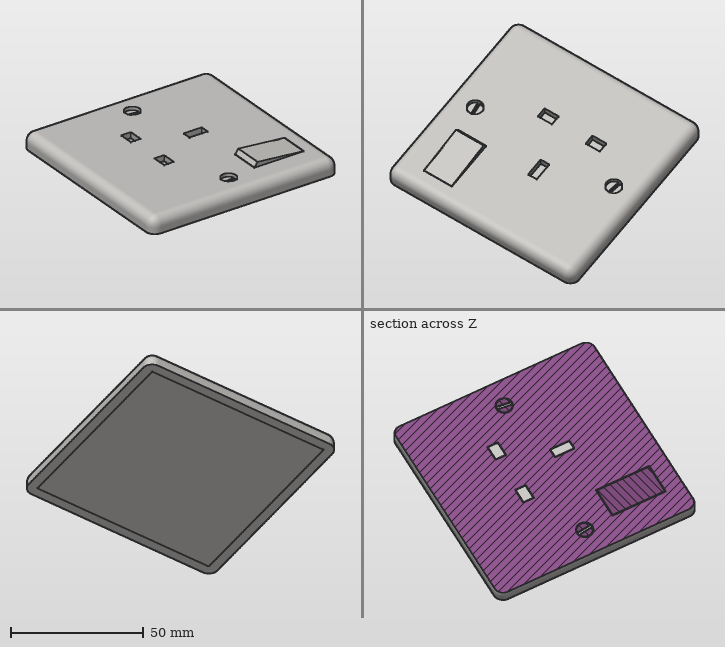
import cadquery as cq

plate_side = 86.0
plate_height = 7.0
edge_diameter = 8.0
edge_radius = edge_diameter / 2

base_side = plate_side - 2 * edge_radius
base_height = plate_height - edge_radius
clearance = 0.13

socket_x = -4.2
line_pin_spacing = 22.0
line_pin_y = -12.3
line_pin_width = 6.45
line_pin_length = 4.5
earth_pin_y = 9.9
earth_pin_width = 3.95
earth_pin_length = 8.3
pin_opening_depth = 2.5
pin_floor_z = plate_height - pin_opening_depth

screw_x = 31.9
screw_opening_diameter = 6.5
screw_head_diameter = screw_opening_diameter - 2 * clearance
screw_head_sink = 1.5
screw_head_z = plate_height - screw_head_sink
screw_slot_width = 1.0
screw_slot_depth = 1.3
screw_slot_tilt = 7.0

overall_height = 8.95
rocker_x = 24.8
rocker_width = 12.7
rocker_back_y = 35.0
rocker_crest_y = 13.85
rocker_front_y = 12.4

pin_openings = [
    (socket_x - line_pin_spacing / 2, line_pin_y, line_pin_width, line_pin_length),
    (socket_x + line_pin_spacing / 2, line_pin_y, line_pin_width, line_pin_length),
    (socket_x, earth_pin_y, earth_pin_width, earth_pin_length),
]
screw_sides = (-1, 1)


def make_block(x, y, width, length, height):
    """Upright block that stands on z = 0, centred at (x, y)."""
    return cq.Workplane("XY", origin=(x, y, 0)).rect(width, length).extrude(height)


def make_disc(x, diameter, height):
    """Upright cylinder that stands on z = 0, centred at (x, 0)."""
    return cq.Workplane("XY", origin=(x, 0, 0)).circle(diameter / 2).extrude(height)


def make_base():
    return make_block(0, 0, base_side, base_side, base_height)


def make_cover():
    """Rounded plate, recessed below for the base and pierced for every post of the insert."""
    cover = (
        make_block(0, 0, plate_side, plate_side, plate_height)
        .edges("|Z")
        .fillet(edge_radius)
        .faces(">Z")
        .edges()
        .fillet(edge_radius)
        .cut(make_base())
    )
    for x, y, width, length in pin_openings:
        cover = cover.cut(make_block(x, y, width, length, plate_height))
    for side in screw_sides:
        cover = cover.cut(make_disc(side * screw_x, screw_opening_diameter, plate_height))
    rocker_opening = make_block(
        rocker_x,
        (rocker_back_y + rocker_front_y) / 2,
        rocker_width + 2 * clearance,
        rocker_back_y - rocker_front_y + 2 * clearance,
        plate_height,
    )
    return cover.cut(rocker_opening)


def make_pin_floor(x, y, width, length):
    """Post that closes a pin opening below the face of the cover."""
    return make_block(x, y, width - 2 * clearance, length - 2 * clearance, pin_floor_z)


def make_screw(side):
    """Sunk screw head with a tilted driver slot; side is -1 for the left and 1 for the right."""
    slot = (
        cq.Workplane("XY", origin=(side * screw_x, 0, screw_head_z))
        .transformed(rotate=(0, 0, side * screw_slot_tilt))
        .rect(screw_slot_width, 2 * screw_head_diameter)
        .extrude(-screw_slot_depth)
    )
    return make_disc(side * screw_x, screw_head_diameter, screw_head_z).cut(slot)


def make_rocker():
    """Upright post with a top that rises toward -Y and ends in a steep front face."""
    return (
        cq.Workplane("YZ", origin=(rocker_x - rocker_width / 2, 0, 0))
        .moveTo(rocker_back_y, 0)
        .lineTo(rocker_back_y, plate_height)
        .lineTo(rocker_crest_y, overall_height)
        .lineTo(rocker_front_y, plate_height)
        .lineTo(rocker_front_y, 0)
        .close()
        .extrude(rocker_width)
    )


def make_insert():
    insert = make_base().union(make_rocker())
    for opening in pin_openings:
        insert = insert.union(make_pin_floor(*opening))
    for side in screw_sides:
        insert = insert.union(make_screw(side))
    return insert


cover = make_cover()
insert = make_insert()

result = cq.Compound.makeCompound([cover.val(), insert.val()])